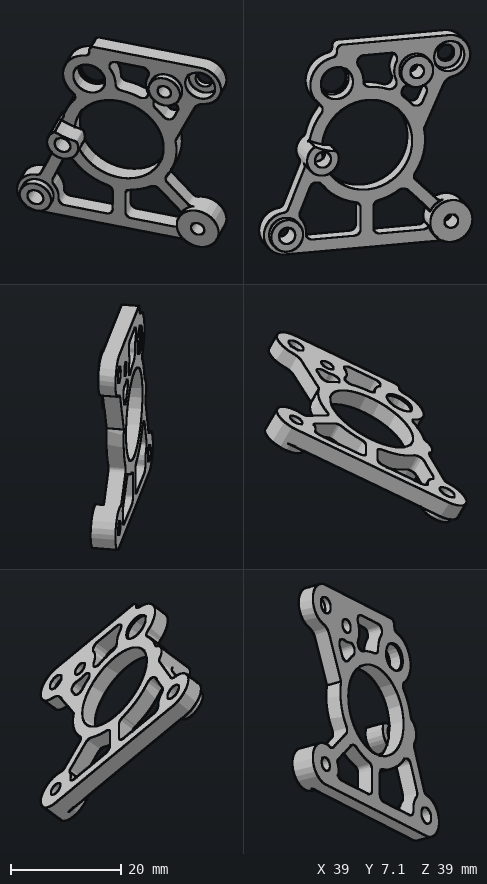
import cadquery as cq
import math

SIDE = 39
PLATE_THICKNESS = 3.2
OVERLAP = 0.4

BORE_DIAMETER = 17.0
RING_RADIUS = 11.0

STRUT_WIDTH = 2.4

CORNER_RADIUS = 3.998
CORNER = SIDE / 2 - CORNER_RADIUS
BOTTOM_LEFT = (-CORNER, -CORNER)
BOTTOM_RIGHT = (CORNER, -CORNER)
TOP_RIGHT = (CORNER, CORNER)
PAD_DIAMETER = 6.0
PAD_TOP = 4.6
BOTTOM_RIGHT_POCKET_RADIUS = 3.75
BOTTOM_LEFT_HOLE = 3.05
TOP_RIGHT_HOLE = 3.05
TOP_RIGHT_RECESS_DIAMETER = 5.7
TOP_RIGHT_RECESS_DEPTH = 2.0
SCREW_HOLE = 2.55

EYE = (-5.7, 12.25)
EYE_RADIUS = 5.05
EYE_HOLE = 5.15
EYE_RECESS_DIAMETER = 6.05
EYE_RECESS_DEPTH = 2.8

STUD = (9.1, 13.55)
STUD_TOP = 4.5
STUD_CLEARANCE_RADIUS = 3.98
TRIANGLE_CLEARANCE_RADIUS = 3.1

POST = (-9.48, -0.78)
POST_TOP = 7.1
POST_HOLE = 3.0
POST_TRIM_RADIUS = 11.7
POST_CORNER_FILLET = 0.5

POCKET_FILLET = 1.2
OUTLINE_FILLET = 1.0
TOP_RIGHT_FILLET = 2.5

RING_CENTRE = (0, 0)
BORE_EDGE = (BORE_DIAMETER / 2, 0)
BAR_INNER = SIDE / 2 - STRUT_WIDTH


def disc(centre, diameter, height, start=0.0):
    """Cylinder running from Y = -start towards -Y."""
    return (
        cq.Workplane("XZ", origin=(0, -start, 0))
        .center(*centre)
        .circle(diameter / 2)
        .extrude(height)
    )


def prism(points):
    """Plate-thick prism over a closed polygon of (X, Z) points."""
    return cq.Workplane("XZ").polyline(points).close().extrude(PLATE_THICKNESS)


def plate_disc(centre, radius):
    return disc(centre, 2 * radius, PLATE_THICKNESS)


def offset_line(start, end, distance):
    """Both end points moved sideways, positive to the left of the direction of travel."""
    dx = end[0] - start[0]
    dz = end[1] - start[1]
    length = math.hypot(dx, dz)
    side = (-dz / length * distance, dx / length * distance)
    return [(p[0] + side[0], p[1] + side[1]) for p in (start, end)]


def strut(start, end):
    left = offset_line(start, end, STRUT_WIDTH / 2)
    right = offset_line(start, end, -STRUT_WIDTH / 2)
    return prism(left + right[::-1])


def round_corner(body, corner, radius):
    """Fillet the plate-thick edge closest to an (X, Z) point."""
    point = (corner[0], -PLATE_THICKNESS / 2, corner[1])
    picked = body.edges("|Y").edges(cq.NearestToPointSelector(point))
    return picked.fillet(radius)


def make_outline():
    """Solid plate with its outer contour, before any pocket or hole."""
    top_edge = SIDE / 2
    body = plate_disc(RING_CENTRE, RING_RADIUS)
    for centre in (BOTTOM_LEFT, BOTTOM_RIGHT, TOP_RIGHT):
        body = body.union(plate_disc(centre, CORNER_RADIUS))
    body = body.union(plate_disc(EYE, EYE_RADIUS))
    body = body.union(plate_disc(POST, PAD_DIAMETER / 2))
    body = body.union(strut(BOTTOM_LEFT, POST))
    body = body.union(strut(TOP_RIGHT, BORE_EDGE))
    body = body.union(strut(BOTTOM_RIGHT, RING_CENTRE))
    body = body.union(prism([(EYE[0], top_edge), (CORNER, top_edge), TOP_RIGHT, BORE_EDGE, RING_CENTRE, EYE]))
    body = body.union(
        prism([(-CORNER, -top_edge), (CORNER, -top_edge), BOTTOM_RIGHT, RING_CENTRE, POST, BOTTOM_LEFT])
    )
    corners = [
        ((EYE[0], top_edge), OUTLINE_FILLET),
        ((EYE[0], EYE[1] + EYE_RADIUS), OUTLINE_FILLET),
        ((-8.97, 7.4), OUTLINE_FILLET),
        ((-10.92, 1.95), OUTLINE_FILLET),
        ((-11.85, -2.8), OUTLINE_FILLET),
        ((-15.2, -11.3), OUTLINE_FILLET),
        ((14.43, 11.3), TOP_RIGHT_FILLET),
        ((8.65, -6.95), OUTLINE_FILLET),
        ((13.25, -11.7), OUTLINE_FILLET),
    ]
    for corner, radius in corners:
        body = round_corner(body, corner, radius)
    return body


def rounded_pocket(pocket):
    """Round every corner by shrinking the contour and growing it back; necks too narrow vanish."""
    contour = pocket.faces(">Y").wires().val()
    cores = contour.offset2D(-POCKET_FILLET)
    largest = max(cores, key=lambda wire: cq.Face.makeFromWires(wire).Area())
    return (
        cq.Workplane("XZ")
        .newObject([largest])
        .toPending()
        .offset2D(POCKET_FILLET)
        .extrude(PLATE_THICKNESS)
    )


def window_pocket():
    """Pocket under the top bar, between the eye and the stud."""
    pocket = prism([EYE, RING_CENTRE, STUD, (STUD[0], BAR_INNER), (EYE[0], BAR_INNER)])
    pocket = pocket.cut(plate_disc(EYE, EYE_RADIUS))
    pocket = pocket.cut(plate_disc(STUD, STUD_CLEARANCE_RADIUS))
    pocket = pocket.cut(plate_disc(RING_CENTRE, RING_RADIUS))
    return rounded_pocket(pocket)


def triangle_pocket():
    """Small pocket between the stud, the ring and the right strut."""
    strut_wall = offset_line(TOP_RIGHT, BORE_EDGE, -STRUT_WIDTH / 2)
    pocket = prism([RING_CENTRE, STUD] + strut_wall)
    pocket = pocket.cut(plate_disc(STUD, TRIANGLE_CLEARANCE_RADIUS))
    pocket = pocket.cut(plate_disc(RING_CENTRE, RING_RADIUS))
    return rounded_pocket(pocket)


def lower_pocket(boss, clearance_radius, strut_end):
    """Pocket between the bottom bar, the middle stem, the ring and one slanted strut."""
    stem = math.copysign(STRUT_WIDTH / 2, boss[0])
    pocket = prism([strut_end, boss, (boss[0], -BAR_INNER), (stem, -BAR_INNER), (stem, strut_end[1])])
    pocket = pocket.cut(strut(boss, strut_end))
    pocket = pocket.cut(plate_disc(boss, clearance_radius))
    pocket = pocket.cut(plate_disc(RING_CENTRE, RING_RADIUS))
    return rounded_pocket(pocket)


def make_post():
    """Part of the post standing in front of the plate, with its blind hole."""
    height = POST_TOP - PLATE_THICKNESS
    post = disc(POST, PAD_DIAMETER, height, PLATE_THICKNESS)
    post = post.cut(disc(EYE, 2 * POST_TRIM_RADIUS, height, PLATE_THICKNESS))
    post = post.edges("|Y").edges(">X").fillet(POST_CORNER_FILLET)
    return post.cut(disc(POST, POST_HOLE, height, PLATE_THICKNESS))


def drill(body, centre, diameter):
    return body.cut(disc(centre, diameter, POST_TOP + 2 * OVERLAP, -OVERLAP))


def recess(body, centre, diameter, depth):
    """Counterbore sunk from the front face of the plate."""
    return body.cut(disc(centre, diameter, depth, PLATE_THICKNESS - depth))


result = make_outline()
result = result.cut(window_pocket())
result = result.cut(triangle_pocket())
result = result.cut(lower_pocket(BOTTOM_LEFT, CORNER_RADIUS, POST))
result = result.cut(lower_pocket(BOTTOM_RIGHT, BOTTOM_RIGHT_POCKET_RADIUS, RING_CENTRE))
result = drill(result, RING_CENTRE, BORE_DIAMETER)

result = result.union(disc(BOTTOM_LEFT, PAD_DIAMETER, PAD_TOP))
result = result.union(disc(BOTTOM_RIGHT, 2 * CORNER_RADIUS, PAD_TOP))
result = result.union(disc(STUD, PAD_DIAMETER, STUD_TOP))
result = result.union(make_post())

result = drill(result, BOTTOM_LEFT, BOTTOM_LEFT_HOLE)
result = drill(result, BOTTOM_RIGHT, SCREW_HOLE)
result = drill(result, STUD, SCREW_HOLE)
result = drill(result, TOP_RIGHT, TOP_RIGHT_HOLE)
result = drill(result, EYE, EYE_HOLE)
result = recess(result, TOP_RIGHT, TOP_RIGHT_RECESS_DIAMETER, TOP_RIGHT_RECESS_DEPTH)
result = recess(result, EYE, EYE_RECESS_DIAMETER, EYE_RECESS_DEPTH)